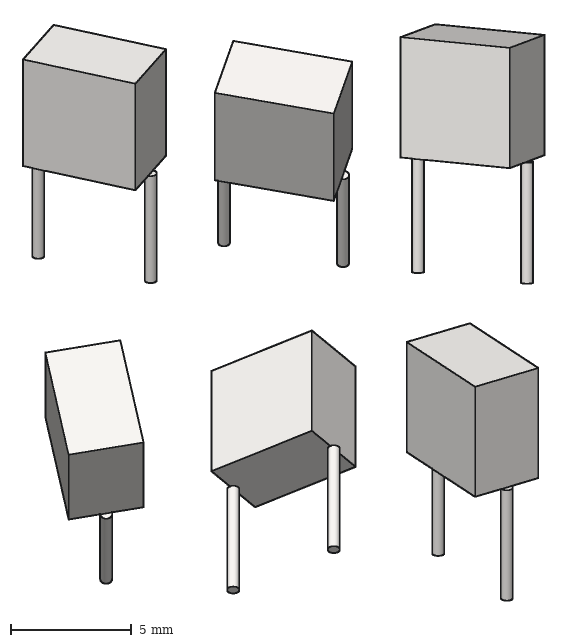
import cadquery as cq

total_height = 10.18
body_width = 5.08
body_depth = 3.17
body_height = 5.08
pin_diameter = 0.51
pin_pitch = body_width
pin_length = total_height - body_height


def make_body():
    """Rectangular block standing on the XY plane."""
    return cq.Workplane("XY").box(body_width, body_depth, body_height, centered=(True, True, False))


def make_pin(x):
    """Straight round pin hanging from the underside of the body."""
    return cq.Workplane("XY").center(x, 0).circle(pin_diameter / 2).extrude(-pin_length)


body = make_body()

pins = []
for side in (-1, 1):
    pins.append(make_pin(side * pin_pitch / 2).val())

result = cq.Compound.makeCompound([body.val(), *pins])